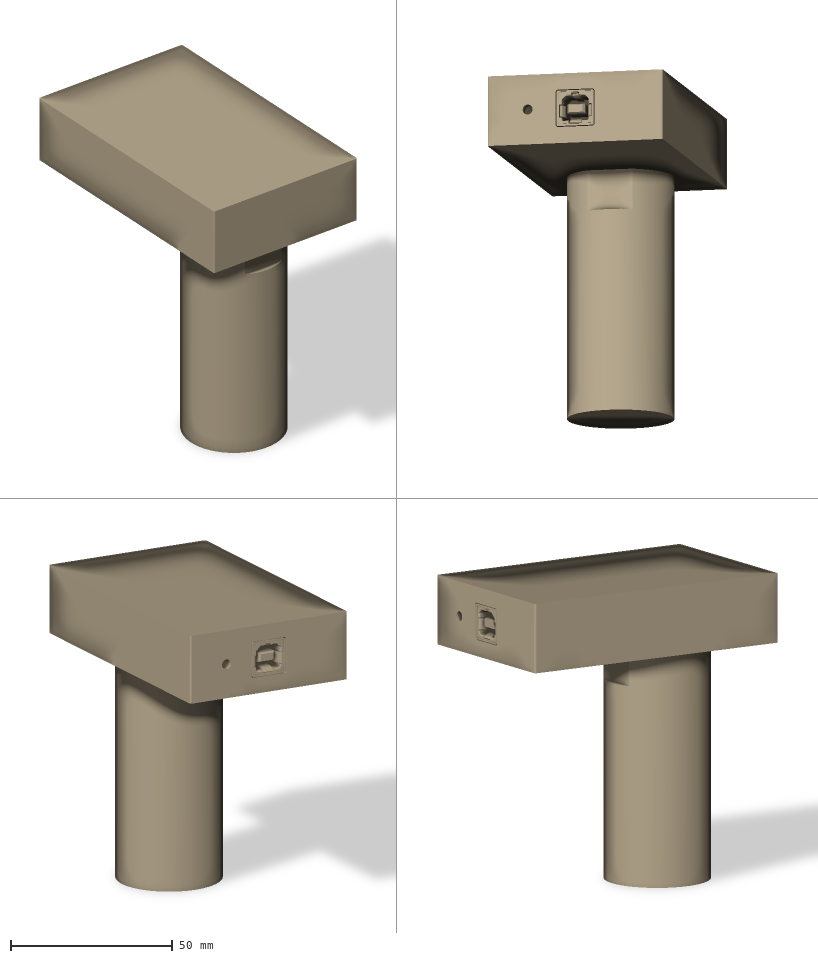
import cadquery as cq
import math

block_length = 90.1
block_width = 55.8
total_height = 98.0
block_height = 22.0
corner_radius = 0.6

barrel_diameter = 33.4
barrel_x = 18.4
barrel_length = total_height - block_height
flat_spacing = 30.2
flat_height = 12.7

hole_diameter = 3.1
hole_y = 15.1
hole_depth = 2.9
drill_point_angle = 118.0

face_x = -block_length / 2
face_z = block_height / 2
shell_width = 11.8
shell_height = 11.2
shell_thickness = 0.4
shell_radius = 0.5
socket_depth = 15.7
pocket_clearance = 0.3

rim_groove = 0.3
insulator_setback = 0.2
insulator_width = shell_width - 2 * (shell_thickness + rim_groove)
insulator_height = shell_height - 2 * (shell_thickness + rim_groove)
groove_depth = 0.4

cavity_depth = 8.8
cavity_half_width = 4.2
cavity_half_height = 3.9
cavity_top_cut = 1.1
cavity_bottom_cut = 0.2
lead_in = 0.3

tongue_width = 5.6
tongue_height = 2.9
tongue_tip_width = 4.4
tongue_tip_height = 2.4
tongue_setback = 1.0
tongue_tip_length = 0.8

leaf_rise = 0.7
leaf_ramp_length = 2.0
leaf_flare = 0.7
leaf_flare_length = 0.4
side_leaf_width = 3.5
side_leaf_z = -0.8
top_leaf_width = 2.0
top_leaf_rise = 0.4
bottom_leaf_width = 3.5
window_margin = 0.3


def face_plane(depth):
    """Plane parallel to the -X face at a depth behind it: local x is Y, local y is Z."""
    return cq.Workplane("YZ", origin=(face_x + depth, 0, face_z))


def rounded_bar(width, height, radius, start, end):
    """Bar running along X between two depths, with its long edges rounded."""
    return face_plane(start).rect(width, height).extrude(end - start).edges("|X").fillet(radius)


def make_barrel():
    """Round barrel whose neck, just under the block, has two flats facing -X and +X."""
    barrel = cq.Workplane("XY").center(barrel_x, 0).circle(barrel_diameter / 2).extrude(-barrel_length)
    flat_cut_depth = (barrel_diameter - flat_spacing) / 2
    for side in (-1, 1):
        flat_cut_x = barrel_x + side * (flat_spacing + flat_cut_depth) / 2
        flat_cut = (
            cq.Workplane("XY")
            .center(flat_cut_x, 0)
            .rect(flat_cut_depth, barrel_diameter)
            .extrude(-flat_height)
        )
        barrel = barrel.cut(flat_cut)
    return barrel


def make_indicator_hole():
    radius = hole_diameter / 2
    point_length = radius / math.tan(math.radians(drill_point_angle / 2))
    axis_start = cq.Workplane("XY", origin=(face_x, hole_y, face_z))
    profile = (
        axis_start.lineTo(hole_depth + point_length, 0)
        .lineTo(hole_depth, radius)
        .lineTo(0, radius)
        .close()
    )
    return profile.revolve(360, (0, 0, 0), (1, 0, 0))


def make_housing():
    block = cq.Workplane("XY").rect(block_length, block_width).extrude(block_height)
    block = block.edges("|Z").fillet(corner_radius)
    pocket = rounded_bar(
        shell_width + 2 * pocket_clearance,
        shell_height + 2 * pocket_clearance,
        shell_radius + pocket_clearance,
        0,
        socket_depth,
    )
    return block.union(make_barrel()).cut(make_indicator_hole()).cut(pocket)


def cavity_section(depth, growth):
    """Plug outline with cut corners; growth moves the straight walls out but not the corner cuts."""
    half_width = cavity_half_width + growth
    half_height = cavity_half_height + growth
    top_cut = cavity_top_cut + 2 * growth
    bottom_cut = cavity_bottom_cut + 2 * growth
    return face_plane(depth).polyline([
        (bottom_cut - half_width, -half_height),
        (half_width - bottom_cut, -half_height),
        (half_width, bottom_cut - half_height),
        (half_width, half_height - top_cut),
        (half_width - top_cut, half_height),
        (top_cut - half_width, half_height),
        (-half_width, half_height - top_cut),
        (-half_width, bottom_cut - half_height),
    ]).close()


def make_cavity():
    lead_in_end = insulator_setback + lead_in
    bore = cavity_section(insulator_setback, 0).extrude(cavity_depth - insulator_setback)
    mouth_outlines = [
        cavity_section(insulator_setback, lead_in).wire().val(),
        cavity_section(lead_in_end, 0).wire().val(),
    ]
    return bore.union(cq.Workplane(cq.Solid.makeLoft(mouth_outlines, True)))


def make_tongue():
    shoulder = tongue_setback + tongue_tip_length
    base = face_plane(shoulder).rect(tongue_width, tongue_height).extrude(cavity_depth - shoulder)
    tip = (
        face_plane(tongue_setback)
        .rect(tongue_tip_width, tongue_tip_height)
        .workplane(offset=tongue_tip_length)
        .rect(tongue_width, tongue_height)
        .loft(ruled=True)
    )
    return base.union(tip)


def place_on_wall(shape, angle):
    """Turn a shape made for the top wall about the socket axis."""
    return shape.rotate((0, 0, face_z), (1, 0, face_z), angle)


def make_leaf(width, wall, rise, shift, angle):
    """Leaf in a wall at a given distance from the axis, ramping inward by rise behind a flared tip."""
    start = insulator_setback + lead_in
    leaf = (
        cq.Workplane("XZ", origin=(face_x, shift, face_z))
        .moveTo(start, wall + leaf_flare)
        .lineTo(cavity_depth, wall + leaf_flare)
        .lineTo(cavity_depth, wall - rise)
        .lineTo(start + leaf_ramp_length, wall - rise)
        .lineTo(start + leaf_flare_length, wall)
        .close()
        .extrude(width / 2, both=True)
    )
    return place_on_wall(leaf, angle)


def make_window(width, wall, outer, shift, angle):
    """Opening through the insulator wall behind a leaf."""
    window = (
        face_plane(0)
        .center(shift, (wall + outer) / 2)
        .rect(width + 2 * window_margin, outer - wall)
        .extrude(cavity_depth)
    )
    return place_on_wall(window, angle)


def make_socket():
    socket = rounded_bar(shell_width, shell_height, shell_radius, 0, socket_depth)
    opening_width = shell_width - 2 * shell_thickness
    opening_height = shell_height - 2 * shell_thickness
    opening = face_plane(0).rect(opening_width, opening_height).extrude(groove_depth)
    insulator = (
        face_plane(insulator_setback)
        .rect(insulator_width, insulator_height)
        .extrude(groove_depth - insulator_setback)
    )
    socket = socket.cut(opening).union(insulator).cut(make_cavity())

    side = (side_leaf_width, cavity_half_width, insulator_width / 2, leaf_rise)
    leaves = [
        (*side, side_leaf_z, 90),
        (*side, -side_leaf_z, -90),
        (top_leaf_width, cavity_half_height, insulator_height / 2, top_leaf_rise, 0, 0),
        (bottom_leaf_width, cavity_half_height, insulator_height / 2, leaf_rise, 0, 180),
    ]
    for width, wall, outer, rise, shift, angle in leaves:
        socket = socket.cut(make_window(width, wall, outer, shift, angle))
        socket = socket.union(make_leaf(width, wall, rise, shift, angle))
    return socket.union(make_tongue())


housing = make_housing()
socket = make_socket()
result = cq.Compound.makeCompound([housing.solids().val(), socket.solids().val()])